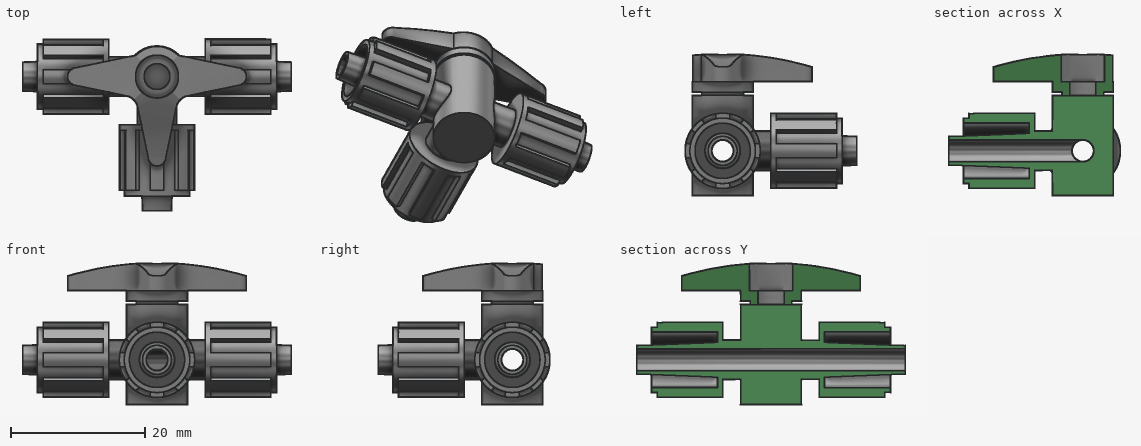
import cadquery as cq
import math


BARREL_RADIUS = 4.55
BARREL_BOTTOM = -6.68
BARREL_TOP = 8.25

PORT_REACH = 20.0
TUBE_RADIUS = 2.95
BORE_RADIUS = 1.6
SPIGOT_ROOT_RADIUS = 2.65
SPIGOT_TIP_RADIUS = 2.15
PORT_ANGLES = (0, 180, 270)

COLLAR_START = 7.15
COLLAR_END = 17.8
COLLAR_RADIUS = 4.88
COLLAR_BORE_RADIUS = 4.1
GRIP_RADIUS = 5.6
END_BAND = 0.85
RIB_COUNT = 8
RIB_WIDTH = 2.08
RIB_START = COLLAR_START + END_BAND
RIB_END = COLLAR_END - END_BAND

NECK_RADIUS = 3.1
NECK_HEIGHT = 0.48
DISC_RADIUS = BARREL_RADIUS
DISC_HEIGHT = 1.55
DISC_BOTTOM = BARREL_TOP + NECK_HEIGHT
ARM_BOTTOM = DISC_BOTTOM + DISC_HEIGHT
STEM_HOLE_RADIUS = 1.9
HUB_RADIUS = 4.48
ARM_ROOT = HUB_RADIUS / math.sqrt(2)
HUB_HOLE_RADIUS = 3.2
ARM_REACH = 13.3
ARM_TIP_RADIUS = 1.3
ARM_CROWN_HEIGHT = 4.15
ARM_TIP_HEIGHT = 2.2
ARM_FILLET = 2.2


def cylinder_x(radius, start, end):
    """Solid cylinder along +X between two distances from the origin."""
    return cq.Workplane("YZ").workplane(offset=start).circle(radius).extrude(end - start)


def cylinder_z(radius, bottom, top):
    """Solid cylinder on the Z axis between two heights."""
    return cq.Workplane("XY").workplane(offset=bottom).circle(radius).extrude(top - bottom)


def make_grip_ribs():
    """Lengthwise ribs that rise from the collar to the grip radius."""
    blank = cylinder_x(GRIP_RADIUS, RIB_START, RIB_END)
    bars = cq.Workplane("YZ").workplane(offset=RIB_START)
    bars = bars.polarArray(GRIP_RADIUS, 0, 360, RIB_COUNT).rect(GRIP_RADIUS, RIB_WIDTH)
    return blank.intersect(bars.extrude(RIB_END - RIB_START))


def make_port():
    """One port along +X: tube, ribbed lock collar and tapered spigot, not yet bored."""
    tube = cylinder_x(TUBE_RADIUS, 0, RIB_START)
    collar = cylinder_x(COLLAR_RADIUS, COLLAR_START, COLLAR_END)
    flange = cylinder_x(GRIP_RADIUS, COLLAR_START, RIB_START)
    cavity = cylinder_x(COLLAR_BORE_RADIUS, RIB_START, COLLAR_END)
    spigot = (
        cq.Workplane("YZ").workplane(offset=RIB_START).circle(SPIGOT_ROOT_RADIUS)
        .workplane(offset=PORT_REACH - RIB_START).circle(SPIGOT_TIP_RADIUS).loft()
    )
    return collar.union(flange).union(make_grip_ribs()).cut(cavity).union(tube).union(spigot)


def make_housing():
    """Barrel with its three ports and the connected flow channels."""
    housing = cylinder_z(BARREL_RADIUS, BARREL_BOTTOM, BARREL_TOP)
    port = make_port()
    channel = cylinder_x(BORE_RADIUS, 0, PORT_REACH)
    for angle in PORT_ANGLES:
        housing = housing.union(port.rotate((0, 0, 0), (0, 0, 1), angle))
    for angle in PORT_ANGLES:
        housing = housing.cut(channel.rotate((0, 0, 0), (0, 0, 1), angle))
    return housing


def make_arm():
    """Tapered arm along +X with a flat top, from the hub diagonals to its semicircular tip."""
    tip_center = ARM_REACH - ARM_TIP_RADIUS
    return (
        cq.Workplane("XY").workplane(offset=ARM_BOTTOM)
        .lineTo(ARM_ROOT, -ARM_ROOT).lineTo(tip_center, -ARM_TIP_RADIUS)
        .threePointArc((ARM_REACH, 0), (tip_center, ARM_TIP_RADIUS))
        .lineTo(ARM_ROOT, ARM_ROOT).close()
        .extrude(ARM_CROWN_HEIGHT)
    )


def make_back_hub():
    """Quarter disc that closes the hub on the +Y side, between the two side arms."""
    return (
        cq.Workplane("XY").workplane(offset=ARM_BOTTOM)
        .lineTo(ARM_ROOT, ARM_ROOT)
        .threePointArc((0, HUB_RADIUS), (-ARM_ROOT, ARM_ROOT))
        .close()
        .extrude(ARM_CROWN_HEIGHT)
    )


def make_crown(plane):
    """Bar with an arched top, wide enough to trim the whole handle in one direction."""
    width = 2 * ARM_REACH
    tip_z = ARM_BOTTOM + ARM_TIP_HEIGHT
    return (
        cq.Workplane(plane)
        .moveTo(-ARM_REACH, ARM_BOTTOM).lineTo(-ARM_REACH, tip_z)
        .threePointArc((0, ARM_BOTTOM + ARM_CROWN_HEIGHT), (ARM_REACH, tip_z))
        .lineTo(ARM_REACH, ARM_BOTTOM).close()
        .extrude(width, both=True)
    )


def make_star():
    """Three arms with rounded inner corners under one arched top, with an open hub."""
    star = make_back_hub()
    for angle in PORT_ANGLES:
        star = star.union(make_arm().rotate((0, 0, 0), (0, 0, 1), angle))
    for side in (-1, 1):
        corner = (side * ARM_ROOT, -ARM_ROOT, ARM_BOTTOM + ARM_CROWN_HEIGHT / 2)
        star = star.edges(cq.NearestToPointSelector(corner)).fillet(ARM_FILLET)
    star = star.intersect(make_crown("XZ")).intersect(make_crown("YZ"))
    return star.cut(cylinder_z(HUB_HOLE_RADIUS, ARM_BOTTOM, ARM_BOTTOM + ARM_CROWN_HEIGHT))


def make_handle():
    """Star grip above a disc and a hollow neck that stands on the barrel."""
    disc = cylinder_z(DISC_RADIUS, DISC_BOTTOM, ARM_BOTTOM)
    neck = cylinder_z(NECK_RADIUS, BARREL_TOP, DISC_BOTTOM)
    stem_hole = cylinder_z(STEM_HOLE_RADIUS, BARREL_TOP, ARM_BOTTOM)
    return make_star().union(disc).union(neck).cut(stem_hole)


housing = make_housing()
handle = make_handle()

result = cq.Compound.makeCompound([housing.val(), handle.val()])